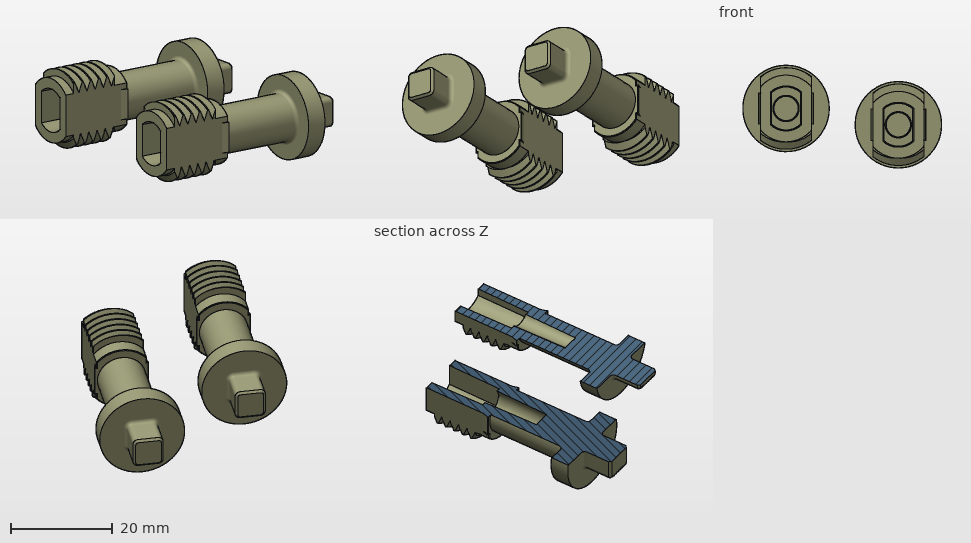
import cadquery as cq
import math


pin_length = 42.5
collar_length = 15.0
flange_thickness = 4.0
tang_length = 6.4
shaft_length = pin_length - collar_length - flange_thickness - tang_length
flange_base = collar_length + shaft_length
tang_base = flange_base + flange_thickness

flange_diameter = 17.0
shaft_diameter = 9.65
shaft_fillet = 0.75
tang_side = 6.05
tang_corner_radius = 1.0
tang_end_chamfer = 0.45
tang_fillet = 0.8

collar_diameter = 13.1
collar_width = 10.0
collar_chamfer = 0.15
thread_diameter = 16.0
thread_turns = 5
thread_length = 10.0
crest_width = 0.3
thread_start = 1.95
thread_pitch = thread_length / thread_turns
cutter_overshoot = 0.1

catch_width = 6.15
catch_length = 1.4
catch_height = 0.45

draft_angle = 1.0
socket_width = 6.05
socket_diameter = 8.85
socket_depth = 12.0
hole_diameter = 5.2
hole_depth = 12.0

pin_count = 2
pin_step = (22.05, 8.25, -3.2)


def flatted_round(diameter, width):
    """Outline of a circle cut by two flats parallel to Y."""
    radius = diameter / 2
    half_width = width / 2
    flat_end = math.sqrt(radius**2 - half_width**2)
    return (
        cq.Sketch()
        .segment((half_width, -flat_end), (half_width, flat_end))
        .arc((half_width, flat_end), (0, radius), (-half_width, flat_end))
        .segment((-half_width, flat_end), (-half_width, -flat_end))
        .arc((-half_width, -flat_end), (0, -radius), (half_width, -flat_end))
        .assemble()
    )


def make_shank():
    """Shaft and flange with the fillet between them."""
    shaft = cq.Workplane().workplane(offset=collar_length).circle(shaft_diameter / 2).extrude(shaft_length)
    flange = cq.Workplane().workplane(offset=flange_base).circle(flange_diameter / 2).extrude(flange_thickness)

    root_edge = cq.selectors.RadiusNthSelector(0)
    return shaft.union(flange).faces("<Z[1]").edges(root_edge).fillet(shaft_fillet)


def add_tang(shank):
    """Square tang with rounded corners, a filleted root and a chamfered end."""
    tang = (
        cq.Workplane().workplane(offset=tang_base)
        .rect(tang_side, tang_side).extrude(tang_length)
        .edges("|Z").fillet(tang_corner_radius)
        .faces(">Z").edges().chamfer(tang_end_chamfer)
    )
    margin = 0.05
    reach = tang_side / 2 + margin
    root_box = cq.selectors.BoxSelector(
        (-reach, -reach, tang_base - margin), (reach, reach, tang_base + margin), boundingbox=True
    )
    return shank.union(tang).edges(root_box).fillet(tang_fillet)


def make_thread():
    """Right-handed V thread on a cylinder, trimmed square at both ends."""
    crest_radius = thread_diameter / 2
    root_radius = collar_diameter / 2
    half_mouth = (thread_pitch - crest_width) / 2
    flank_slope = half_mouth / (crest_radius - root_radius)
    outer_radius = crest_radius + cutter_overshoot
    outer_half_mouth = half_mouth + cutter_overshoot * flank_slope

    half_turn = cq.Workplane(cq.Wire.makeHelix(thread_pitch, thread_pitch / 2, root_radius))
    half_groove = (
        cq.Workplane("XZ")
        .moveTo(root_radius, 0)
        .lineTo(outer_radius, outer_half_mouth)
        .lineTo(outer_radius, -outer_half_mouth)
        .close()
        .sweep(half_turn, isFrenet=True)
    )
    blank = cq.Workplane().workplane(offset=thread_start).circle(crest_radius).extrude(thread_length)
    flats = (
        cq.Workplane().workplane(offset=thread_start)
        .rect(collar_width, thread_diameter).extrude(thread_length)
    )
    thread = blank.intersect(flats)

    spare_turns = 1
    groove_start = thread_start - (spare_turns + 1 / 4) * thread_pitch
    for half_index in range(2 * (thread_turns + 2 * spare_turns)):
        climb = groove_start + half_index * thread_pitch / 2
        groove = half_groove.rotate((0, 0, 0), (0, 0, 1), 180 * half_index).translate((0, 0, climb))
        thread = thread.cut(groove)
    return thread


def make_catches():
    """Two wedges that rise from the flats towards the shaft."""
    flat = collar_width / 2
    tip = flat + catch_height
    return (
        cq.Workplane("XZ")
        .moveTo(flat, collar_length - catch_length)
        .lineTo(tip, collar_length)
        .lineTo(-tip, collar_length)
        .lineTo(-flat, collar_length - catch_length)
        .close()
        .extrude(catch_width / 2, both=True)
    )


def cut_socket(pin):
    """Flatted bore from the mouth and the round hole beyond it, both narrowing inwards."""
    bore = (
        cq.Workplane()
        .placeSketch(flatted_round(socket_diameter, socket_width))
        .extrude(socket_depth, taper=draft_angle)
    )
    hole = (
        cq.Workplane().workplane(offset=socket_depth)
        .circle(hole_diameter / 2).extrude(hole_depth, taper=draft_angle)
    )
    return pin.cut(bore).cut(hole)


def make_collar():
    """Flatted collar with its catches, chamfered round the face next to the shaft."""
    body = cq.Workplane().placeSketch(flatted_round(collar_diameter, collar_width)).extrude(collar_length)
    return body.union(make_catches()).faces(">Z").edges().chamfer(collar_chamfer)


def make_pin():
    """One complete threaded pin, upright along Z."""
    pin = add_tang(make_shank()).union(make_collar()).union(make_thread())
    return cut_socket(pin)


lying_pin = make_pin().rotate((0, 0, 0), (1, 0, 0), -90)
pins = []
for index in range(pin_count):
    offset = tuple(index * step for step in pin_step)
    pins.append(lying_pin.translate(offset).val())

result = cq.Compound.makeCompound(pins)